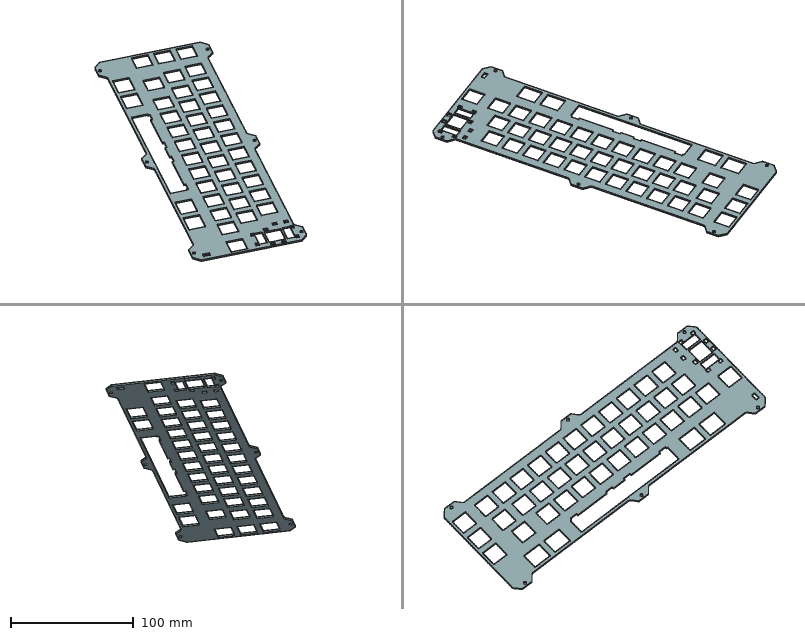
import cadquery as cq

length = 271.5
width = 97.7
thickness = 1.6
rail_width = 86.0

screw_diameter = 2.5
screw_xs = (-125.1, 0.0, 125.1)
screw_inset = 2.7
tab_outer_width = 10.5
tab_root_width = 20.4
tab_root_radius = 2.7

corner_edge_y = 43.2

top_row_count = 11
lower_row_count = 10
top_row_span = 190.5
key_pitch = top_row_span / (top_row_count - 1)
three_row_height = 52.0
key_size = three_row_height - 2 * key_pitch
first_column = 0
last_column = 13.25
top_row_start = 1.25
middle_row_wide_key = 1.375
middle_row_start = 2.5
lower_row_wide_key = 1.625
lower_row_start = 3
top_row, middle_row, lower_row, space_row = 1.5, 0.5, -0.5, -1.75

double_key_columns = (1.3125, 2.4375, 10.0625, 11.1875)
double_key_shift = 0.125
space_column = 6.25
space_shift = 4.75

bar_offset = 1.5
stabiliser_offset = 1.0
notch_width = 6.8
notch_height = 1.5

knob_x = 123.5
knob_row = 1.25
window_x = 123.2
window_length = 14.7
window_height = 6.8
window_inner_dy = 8.7
window_offset = window_inner_dy + window_height / 2
slot_short = 2.7
slot_long = 3.5
end_slot_length = 3.3
side_slot_dx = 9.8
side_slot_dy = 4.5
end_slot_dx = 6.5
end_slot_dy = 17.0
outer_slot_dx = 14.7
outer_slot_high_dy = 14.5

port_x = 130.3
port_y = -37.0
port_width = 3.0
port_height = 5.7


def column_x(column):
    return (column - last_column / 2) * key_pitch


def row_y(row):
    return row * key_pitch


def run_of_columns(start, count):
    return [start + i for i in range(count)]


def opening(x, y, size_x, size_y):
    """Rectangular cutter through the plate."""
    return cq.Workplane("XY").center(x, y).rect(size_x, size_y).extrude(thickness)


def tab(x):
    """Tapered tab on the +Y edge, centred at x."""
    return (
        cq.Workplane("XY")
        .moveTo(x - tab_root_width / 2, rail_width / 2)
        .lineTo(x - tab_outer_width / 2, width / 2)
        .lineTo(x + tab_outer_width / 2, width / 2)
        .lineTo(x + tab_root_width / 2, rail_width / 2)
        .lineTo(x, 0)
        .close()
        .extrude(thickness)
    )


def corner():
    """Chamfered +X +Y corner that fills the outer side of the end tab."""
    return (
        cq.Workplane("XY")
        .moveTo(screw_xs[-1], 0)
        .lineTo(screw_xs[-1], width / 2)
        .lineTo(screw_xs[-1] + tab_outer_width / 2, width / 2)
        .lineTo(length / 2, corner_edge_y)
        .lineTo(length / 2, 0)
        .close()
        .extrude(thickness)
    )


def plate():
    """Central rail with screw tabs on both long edges and four chamfered corners."""
    body = cq.Workplane("XY").rect(length, rail_width).extrude(thickness)
    edge = corner().union(corner().mirror("YZ"))
    for x in screw_xs:
        edge = edge.union(tab(x))
    body = body.union(edge).union(edge.mirror("XZ"))

    root_xs = [x + side * tab_root_width / 2 for x in screw_xs for side in (-1, 1)]
    for x in root_xs[1:-1]:
        for y in (-rail_width / 2, rail_width / 2):
            root = cq.selectors.NearestToPointSelector((x, y, thickness / 2))
            body = body.edges("|Z").edges(root).fillet(tab_root_radius)
    return body


def screw_holes():
    screw_y = width / 2 - screw_inset
    centres = [(x, y) for x in screw_xs for y in (screw_y, -screw_y)]
    return cq.Workplane("XY").pushPoints(centres).circle(screw_diameter / 2).extrude(thickness)


def key_openings():
    rows = {
        top_row: [first_column] + run_of_columns(top_row_start, top_row_count),
        middle_row: [first_column, middle_row_wide_key] + run_of_columns(middle_row_start, lower_row_count),
        lower_row: [first_column, lower_row_wide_key]
        + run_of_columns(lower_row_start, lower_row_count)
        + [last_column],
    }
    centres = [(column_x(column), row_y(row)) for row, columns in rows.items() for column in columns]
    return cq.Workplane("XY").pushPoints(centres).rect(key_size, key_size).extrude(thickness)


def bottom_row_openings():
    y = row_y(space_row)
    double_width = key_size + double_key_shift * key_pitch
    cutter = opening(column_x(space_column), y, key_size + space_shift * key_pitch, key_size)
    for column in double_key_columns:
        cutter = cutter.union(opening(column_x(column), y, double_width, key_size))
    for bar in (-bar_offset, bar_offset):
        for stabiliser in (-stabiliser_offset, stabiliser_offset):
            x = column_x(space_column + bar + stabiliser)
            cutter = cutter.union(opening(x, y + notch_height / 2, notch_width, key_size + notch_height))
    return cutter


def knob_openings():
    y = row_y(knob_row)
    cutter = opening(knob_x, y, key_size, key_size)
    for side in (1, -1):
        cutter = cutter.union(opening(window_x, y + side * window_offset, window_length, window_height))
        for end in (1, -1):
            cutter = cutter.union(
                opening(knob_x + end * end_slot_dx, y + side * end_slot_dy, end_slot_length, slot_short)
            )
    side_slots = (
        (side_slot_dx, side_slot_dy),
        (side_slot_dx, -side_slot_dy),
        (-side_slot_dx, -side_slot_dy),
        (-outer_slot_dx, side_slot_dy),
        (-outer_slot_dx, outer_slot_high_dy),
    )
    for dx, dy in side_slots:
        cutter = cutter.union(opening(knob_x + dx, y + dy, slot_short, slot_long))
    return cutter


result = (
    plate()
    .cut(screw_holes())
    .cut(key_openings())
    .cut(bottom_row_openings())
    .cut(knob_openings())
    .cut(opening(port_x, port_y, port_width, port_height))
)